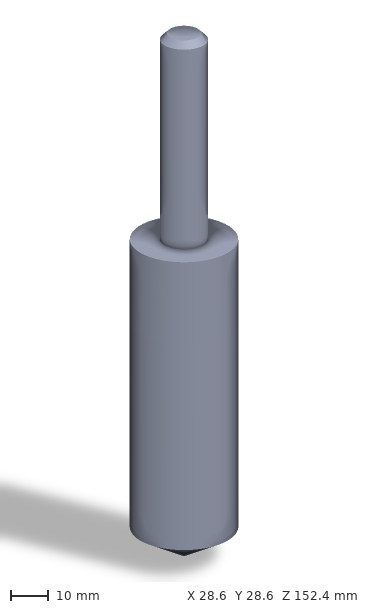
import cadquery as cq
import math

overall_length = 152.4
head_diameter = 28.575
shank_diameter = 12.7
shank_length = 60.0
shank_chamfer = 1.83
collar_length = 23.8125
point_angle = 118.0

head_radius = head_diameter / 2
shank_radius = shank_diameter / 2
point_height = head_radius / math.tan(math.radians(point_angle / 2))
collar_top = overall_length - shank_length
collar_bottom = collar_top - collar_length


def make_holder():
    """Collar with the chamfered shank standing on its top face."""
    collar = cq.Workplane("XY").workplane(offset=collar_bottom).circle(head_radius).extrude(collar_length)
    shank = (
        cq.Workplane("XY")
        .workplane(offset=collar_top)
        .circle(shank_radius)
        .extrude(shank_length)
        .faces(">Z")
        .chamfer(shank_chamfer)
    )
    return collar.union(shank)


def make_tip():
    """Cylinder below the collar, ending in a conical point."""
    half_profile = [
        (0, 0),
        (head_radius, point_height),
        (head_radius, collar_bottom),
        (0, collar_bottom),
    ]
    return cq.Workplane("XZ").polyline(half_profile).close().revolve(360, (0, 0), (0, 1))


holder = make_holder()
tip = make_tip()

result = cq.Compound.makeCompound([holder.val(), tip.val()])